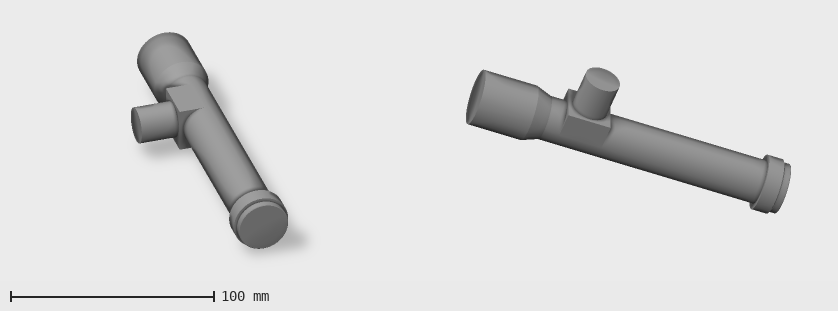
import cadquery as cq

length = 161.0

head_radius = 14.0
head_length = 27.9
cone_end = 35.9
tube_radius = 11.1

collar_radius = head_radius
collar_start = 149.0
collar_end = 156.8
groove_radius = 12.0
groove_width = 0.8
spigot_radius = 12.7
spigot_chamfer = 0.3

branch_x = 54.9
block_width = 2 * tube_radius
block_reach = 13.0
branch_radius = 9.0
branch_reach = 31.9


def turned_body():
    groove_end = collar_end + groove_width
    outline = [
        (0, 0),
        (0, head_radius),
        (head_length, head_radius),
        (cone_end, tube_radius),
        (collar_start, tube_radius),
        (collar_start, collar_radius),
        (collar_end, collar_radius),
        (collar_end, groove_radius),
        (groove_end, groove_radius),
        (groove_end, spigot_radius),
        (length - spigot_chamfer, spigot_radius),
        (length, spigot_radius - spigot_chamfer),
        (length, 0),
    ]
    return cq.Workplane("XY").polyline(outline).close().revolve(360, (0, 0, 0), (1, 0, 0))


def side_block():
    return (
        cq.Workplane("XZ", origin=(branch_x, 0, 0))
        .rect(block_width, block_width)
        .extrude(block_reach)
    )


def branch():
    return (
        cq.Workplane("XZ", origin=(branch_x, 0, 0))
        .circle(branch_radius)
        .extrude(branch_reach)
    )


result = turned_body().union(side_block()).union(branch())